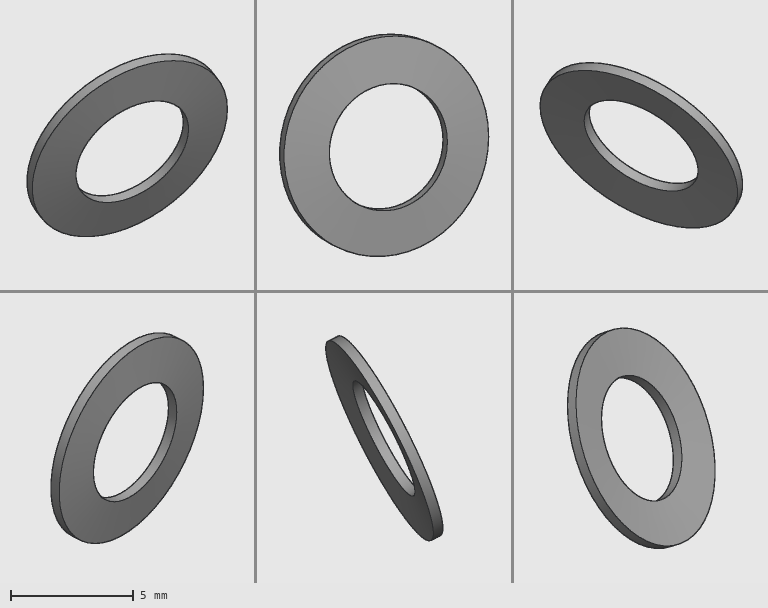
import cadquery as cq

outer_diameter = 9.2
inner_diameter = 5.3
overall_height = 0.65
thickness = 0.45

outer_radius = outer_diameter / 2
inner_radius = inner_diameter / 2
cone_rise = overall_height - thickness

section = (
    cq.Workplane("XY")
    .moveTo(0, outer_radius)
    .lineTo(thickness, outer_radius)
    .lineTo(overall_height, inner_radius)
    .lineTo(cone_rise, inner_radius)
    .close()
)

result = section.revolve(360, (0, 0, 0), (1, 0, 0))